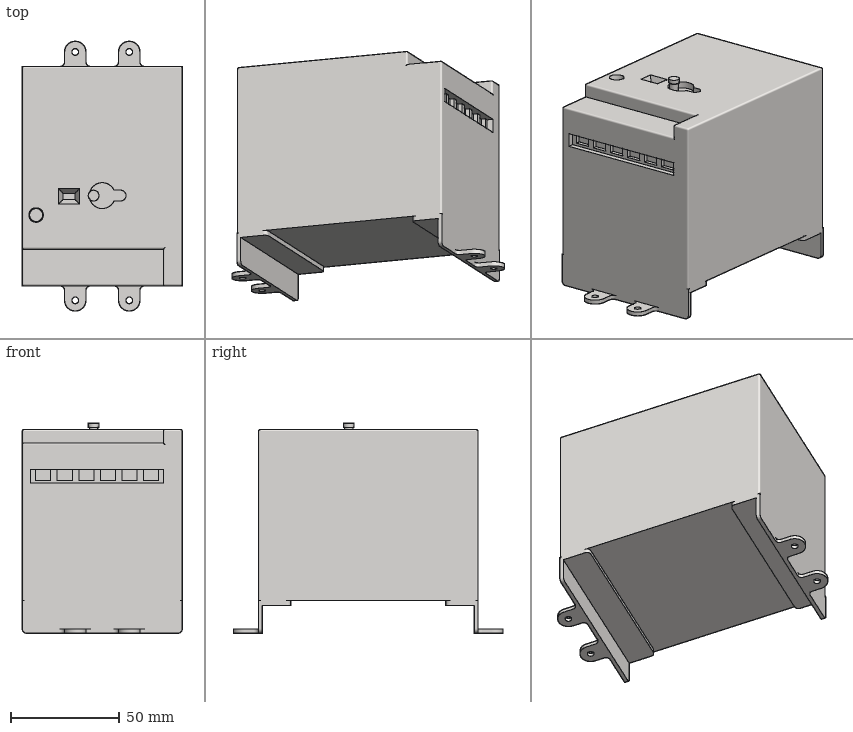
import cadquery as cq

WIDTH = 74.0
DEPTH = 101.6
HOUSING_BOTTOM = 15.1
HOUSING_TOP = 94.2
EDGE_ROUNDING = 0.9

STEP_FLOOR_Z = 88.0
STEP_SIDE_X = 28.2
STEP_BACK_Y = -33.8

RECESS_LEFT = -33.1
RECESS_RIGHT = 28.3
RECESS_BOTTOM = 69.4
RECESS_TOP = 75.6
RECESS_DEPTH = 2.9
WINDOW_COUNT = 6
WINDOW_PITCH = 10.0
WINDOW_WIDTH = 7.0
WINDOW_BOTTOM = 70.6
WINDOW_DEPTH = 2.0

KEYHOLE_Y = -9.0
KEYHOLE_RADIUS = 6.0
KEYHOLE_DEPTH = 3.0
SLOT_WIDTH = 5.0
SLOT_REACH = 11.0

FUNNEL_X = -15.4
FUNNEL_Y = -9.4
FUNNEL_LENGTH = 9.7
FUNNEL_WIDTH = 7.1
FUNNEL_INSET = 2.1
FUNNEL_DEPTH = 6.0

LAMP_X = -30.6
LAMP_Y = -18.0
LAMP_TOP_RADIUS = 3.4
LAMP_FLOOR_RADIUS = 3.0
LAMP_DEPTH = 2.5

OVERALL_DEPTH = 124.8
FLANGE_LENGTH = 15.0
FLANGE_THICKNESS = 2.2
WALL_THICKNESS = 1.9
FOOT_THICKNESS = 2.0
BRACKET_CORNER_RADIUS = 2.0
FOOT_SPACING = 25.0
FOOT_WIDTH = 10.0
FOOT_HOLE_DIAMETER = 3.0

KNOB_NECK_RADIUS = 2.0
KNOB_HEAD_RADIUS = 2.5
KNOB_HEAD_BOTTOM = 95.2
KNOB_TOP = 97.2
KNOB_X = KNOB_NECK_RADIUS - KEYHOLE_RADIUS


def box(x_min, x_max, y_min, y_max, z_min, z_max):
    """Block between two limits along each axis."""
    size = (x_max - x_min, y_max - y_min, z_max - z_min)
    return cq.Workplane("XY").box(*size, centered=False).translate((x_min, y_min, z_min))


def top_plane(x, y):
    """Sketch plane on the housing top."""
    return cq.Workplane("XY", origin=(x, y, HOUSING_TOP))


def make_block():
    """Housing block with the corner step, rounded on every outer edge but the bottom ones."""
    block = box(-WIDTH / 2, WIDTH / 2, -DEPTH / 2, DEPTH / 2, HOUSING_BOTTOM, HOUSING_TOP)
    step = box(-WIDTH / 2, STEP_SIDE_X, -DEPTH / 2, STEP_BACK_Y, STEP_FLOOR_Z, HOUSING_TOP)
    block = block.cut(step)
    inner_corners = cq.selectors.BoxSelector(
        (EDGE_ROUNDING - WIDTH / 2, EDGE_ROUNDING - DEPTH / 2, HOUSING_BOTTOM + EDGE_ROUNDING),
        (WIDTH / 2 - EDGE_ROUNDING, DEPTH / 2 - EDGE_ROUNDING, HOUSING_TOP - EDGE_ROUNDING),
    )
    above_bottom = cq.selectors.StringSyntaxSelector("not <Z")
    return block.edges(above_bottom - inner_corners).fillet(EDGE_ROUNDING)


def make_terminal_recess():
    """Space of the front recess and of the deeper windows in its back."""
    front = -DEPTH / 2
    recess_back = front + RECESS_DEPTH
    recess = box(RECESS_LEFT, RECESS_RIGHT, front, recess_back, RECESS_BOTTOM, RECESS_TOP)
    middle_x = (RECESS_LEFT + RECESS_RIGHT) / 2
    for index in range(WINDOW_COUNT):
        window_x = middle_x + (index - (WINDOW_COUNT - 1) / 2) * WINDOW_PITCH
        window = box(
            window_x - WINDOW_WIDTH / 2,
            window_x + WINDOW_WIDTH / 2,
            front,
            recess_back + WINDOW_DEPTH,
            WINDOW_BOTTOM,
            RECESS_TOP,
        )
        recess = recess.union(window)
    return recess


def make_keyhole():
    """Space of the keyhole pocket: a round hole with a round-ended slot toward +X."""
    round_part = top_plane(0, KEYHOLE_Y).circle(KEYHOLE_RADIUS).extrude(-KEYHOLE_DEPTH)
    slot_end_x = SLOT_REACH - SLOT_WIDTH / 2
    slot_middle = top_plane(slot_end_x / 2, KEYHOLE_Y)
    slot = slot_middle.slot2D(slot_end_x + SLOT_WIDTH, SLOT_WIDTH).extrude(-KEYHOLE_DEPTH)
    return round_part.union(slot)


def make_funnel():
    """Space of the tapered rectangular pocket."""
    return (
        top_plane(FUNNEL_X, FUNNEL_Y)
        .rect(FUNNEL_LENGTH, FUNNEL_WIDTH)
        .workplane(offset=-FUNNEL_DEPTH)
        .rect(FUNNEL_LENGTH - 2 * FUNNEL_INSET, FUNNEL_WIDTH - 2 * FUNNEL_INSET)
        .loft(ruled=True)
    )


def make_lamp_pocket():
    """Space of the tapered round pocket."""
    return (
        top_plane(LAMP_X, LAMP_Y)
        .circle(LAMP_TOP_RADIUS)
        .workplane(offset=-LAMP_DEPTH)
        .circle(LAMP_FLOOR_RADIUS)
        .loft(ruled=True)
    )


def make_foot(x):
    """Round-ended foot with a screw hole, flared where it leaves the back bracket wall."""
    wall_y = DEPTH / 2
    half_width = FOOT_WIDTH / 2
    round_y = OVERALL_DEPTH / 2 - half_width
    flare_x = half_width + BRACKET_CORNER_RADIUS
    flare_y = wall_y + BRACKET_CORNER_RADIUS
    foot = (
        cq.Workplane("XY", origin=(x, 0, 0))
        .moveTo(-flare_x, wall_y)
        .radiusArc((-half_width, flare_y), -BRACKET_CORNER_RADIUS)
        .lineTo(-half_width, round_y)
        .threePointArc((0, OVERALL_DEPTH / 2), (half_width, round_y))
        .lineTo(half_width, flare_y)
        .radiusArc((flare_x, wall_y), -BRACKET_CORNER_RADIUS)
        .close()
        .extrude(FOOT_THICKNESS)
    )
    hole = cq.Workplane("XY", origin=(x, round_y, 0)).circle(FOOT_HOLE_DIAMETER / 2).extrude(FOOT_THICKNESS)
    return foot.cut(hole)


def make_back_bracket():
    """Flange under the housing, upright wall flush with the housing back, and two feet."""
    back = DEPTH / 2
    flange_bottom = HOUSING_BOTTOM - FLANGE_THICKNESS
    flange = box(-WIDTH / 2, WIDTH / 2, back - FLANGE_LENGTH, back, flange_bottom, HOUSING_BOTTOM)
    flange = flange.edges("|Z and <Y").fillet(BRACKET_CORNER_RADIUS)
    wall = box(-WIDTH / 2, WIDTH / 2, back - WALL_THICKNESS, back, 0, HOUSING_BOTTOM)
    wall = wall.edges("|Y and <Z").fillet(BRACKET_CORNER_RADIUS)
    bracket = flange.union(wall)
    for x in (-FOOT_SPACING / 2, FOOT_SPACING / 2):
        bracket = bracket.union(make_foot(x))
    return bracket


def make_housing():
    """Housing with its pockets and both mounting brackets, as one solid."""
    housing = make_block()
    for pocket in (make_terminal_recess(), make_keyhole(), make_funnel(), make_lamp_pocket()):
        housing = housing.cut(pocket)
    back_bracket = make_back_bracket()
    housing = housing.union(back_bracket, clean=False)
    return housing.union(back_bracket.mirror("XZ"), clean=False)


def make_knob():
    """Headed knob on the keyhole floor, its neck against the end of the round part."""
    floor_z = HOUSING_TOP - KEYHOLE_DEPTH
    neck = cq.Workplane("XY", origin=(KNOB_X, KEYHOLE_Y, floor_z))
    neck = neck.circle(KNOB_NECK_RADIUS).extrude(KNOB_HEAD_BOTTOM - floor_z)
    head = cq.Workplane("XY", origin=(KNOB_X, KEYHOLE_Y, KNOB_HEAD_BOTTOM))
    head = head.circle(KNOB_HEAD_RADIUS).extrude(KNOB_TOP - KNOB_HEAD_BOTTOM)
    return neck.union(head)


housing = make_housing()
knob = make_knob()

result = cq.Compound.makeCompound([housing.val(), knob.val()])